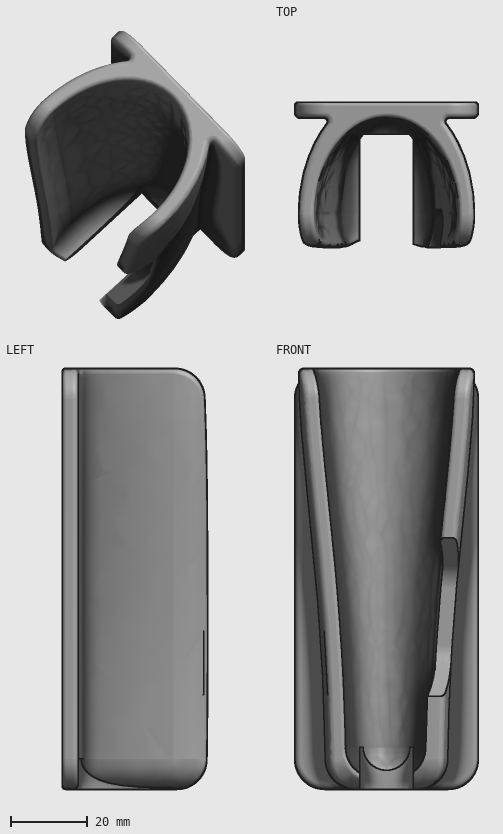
import cadquery as cq
import math

HEIGHT = 110.0
PLATE_WIDTH = 48.0
PLATE_THICKNESS = 4.2
CORNER_RADIUS = 8.0
EDGE_ROUND = 1.0

WIDEST_Y = -29.1
WALL = 4.1
OUTER_REAR_LENGTH = 32.0
NECK_FILLET = 0.9
LIP_ROUND = 1.5
STATIONS = [
    (0, 16.0, 8.7),
    (28, 16.6, 8.9),
    (55, 18.5, 8.9),
    (82, 21.2, 8.7),
    (HEIGHT, 23.0, 7.8),
]
FRONT_LENGTHS = (21.0, 25.0)
CAVITY_REAR_LENGTHS = (24.0, 25.2)
CAVITY_REACH = 12.0

FLOOR = 4.0
FLOOR_FILLET = 7.0
FOOT_STEPS = 5
WEB_WIDTH = 21.0

SLOT_WIDTH = 14.0
SLOT_REAR_Y = -8.4

NOTCH_MOUTH_Y = -38.0
NOTCH_FLOOR_Y = -28.0
NOTCH_FLOOR_BOTTOM = 34.3
NOTCH_FLOOR_TOP = 55.8
NOTCH_ROUND = 7.8

CLEARANCE = 10.0
TOLERANCE = 0.05


def between(ends, z):
    """Value at height z, running linearly from the bottom value to the top value."""
    bottom, top = ends
    return bottom + (top - bottom) * z / HEIGHT


def cradle_section(z, half_width, rear, front, reach):
    """Closed section: half ellipse at the rear, converging elliptic flanks and a flat front."""
    flank = math.degrees(math.asin(reach / front))

    def ellipse(length, start, end):
        return cq.Edge.makeEllipse(
            length,
            half_width,
            pnt=cq.Vector(0, WIDEST_Y, z),
            dir=cq.Vector(0, 0, 1),
            xdir=cq.Vector(0, 1, 0),
            angle1=start,
            angle2=end,
        )

    back = ellipse(rear, -90, 90)
    left = ellipse(front, 90, 90 + flank)
    right = ellipse(front, 270 - flank, 270)
    tip = cq.Edge.makeLine(left.endPoint(), right.startPoint())
    return cq.Wire.assembleEdges([back, left, tip, right])


def cradle_lofts(stations, rears, fronts, floor, radius, rounded_front):
    """Foot and wall lofts through (height, half width, reach) stations; the foot is rounded."""

    def section(z, half_width, reach, inset):
        rear = between(rears, z) - inset
        front_inset = inset if rounded_front else 0
        return cradle_section(z, half_width - inset, rear, between(fronts, z), reach - front_inset)

    foot_half_width, foot_reach = stations[0][1:]
    foot = []
    for step in range(FOOT_STEPS + 1):
        angle = math.pi / 2 * step / FOOT_STEPS
        z = floor + radius * (1 - math.cos(angle))
        inset = radius * (1 - math.sin(angle))
        foot.append(section(z, foot_half_width, foot_reach, inset))
    walls = [section(floor + radius, foot_half_width, foot_reach, 0)]
    for z, half_width, reach in stations[1:]:
        walls.append(section(z, half_width, reach, 0))
    return cq.Workplane(cq.Solid.makeLoft(foot)), cq.Workplane(cq.Solid.makeLoft(walls))


def make_outer():
    """Foot and wall of the cradle, trimmed in the middle of the plate's thickness."""
    rears = (OUTER_REAR_LENGTH, OUTER_REAR_LENGTH)
    foot, wall = cradle_lofts(STATIONS, rears, FRONT_LENGTHS, 0, CORNER_RADIUS, True)
    wall = wall.faces(">Z").edges("<Y").fillet(CORNER_RADIUS)
    behind = (
        cq.Workplane("XY")
        .box(2 * PLATE_WIDTH, OUTER_REAR_LENGTH, 3 * HEIGHT)
        .translate((0, (OUTER_REAR_LENGTH - PLATE_THICKNESS) / 2, 0))
    )
    return foot.cut(behind), wall.cut(behind)


def make_cavity():
    inner = [(z, half_width - WALL, CAVITY_REACH) for z, half_width, _ in STATIONS]
    fronts = [length - WALL for length in FRONT_LENGTHS]
    foot, wall = cradle_lofts(inner, CAVITY_REAR_LENGTHS, fronts, FLOOR, FLOOR_FILLET, False)
    return foot.union(wall)


def make_plate():
    plate = cq.Workplane("XY").box(PLATE_WIDTH, PLATE_THICKNESS, HEIGHT)
    plate = plate.translate((0, -PLATE_THICKNESS / 2, HEIGHT / 2))
    return plate.edges("|Y").fillet(CORNER_RADIUS)


def make_web():
    """Straight block that carries the rounded foot on the plate."""
    depth = -WIDEST_Y - PLATE_THICKNESS / 2
    web = cq.Workplane("XY").box(WEB_WIDTH, depth, CORNER_RADIUS, centered=(True, False, False))
    return web.translate((0, WIDEST_Y, 0))


def make_slot():
    length = 2 * CAVITY_REACH - WIDEST_Y
    slot = cq.Workplane("XY").box(SLOT_WIDTH, length, 2 * (FLOOR + FLOOR_FILLET))
    return slot.translate((0, SLOT_REAR_Y - length / 2, 0))


def make_notch():
    depth = NOTCH_FLOOR_Y - NOTCH_MOUTH_Y
    bottom = NOTCH_FLOOR_BOTTOM - depth
    top = NOTCH_FLOOR_TOP + depth
    outline = [
        (NOTCH_MOUTH_Y, bottom),
        (NOTCH_FLOOR_Y, NOTCH_FLOOR_BOTTOM),
        (NOTCH_FLOOR_Y, NOTCH_FLOOR_TOP),
        (NOTCH_MOUTH_Y, top),
        (NOTCH_MOUTH_Y - CLEARANCE, top),
        (NOTCH_MOUTH_Y - CLEARANCE, bottom),
    ]
    notch = cq.Workplane("YZ").polyline(outline).close().extrude(PLATE_WIDTH)
    return notch.edges("|X and >Y").fillet(NOTCH_ROUND)


def lies_on_plane(edge, y):
    box = edge.BoundingBox()
    return abs(box.ymin - y) < TOLERANCE and abs(box.ymax - y) < TOLERANCE


def is_long_upright(edge):
    box = edge.BoundingBox()
    return box.zmax - box.zmin > HEIGHT / 2


def half_span(edge):
    """Largest distance of the edge from the middle plane X = 0."""
    box = edge.BoundingBox()
    return max(box.xmax, -box.xmin)


def round_neck(body):
    """Fillet the two corners between the cradle wall and the front face of the plate."""
    corners = []
    for edge in body.edges().vals():
        leans = edge.BoundingBox().xmax - edge.BoundingBox().xmin > EDGE_ROUND / 2
        if lies_on_plane(edge, -PLATE_THICKNESS) and is_long_upright(edge) and leans:
            corners.append(edge)
    return body.newObject(corners).fillet(NECK_FILLET)


def round_lips(body):
    """Round the outer edge of both front lips."""
    top_half_width = STATIONS[-1][1]
    lip_y = WIDEST_Y - STATIONS[-1][2]
    lips = []
    for edge in body.edges().vals():
        is_outer = half_span(edge) > top_half_width - WALL + EDGE_ROUND
        if is_long_upright(edge) and is_outer and edge.Center().y < lip_y + EDGE_ROUND:
            lips.append(edge)
    return body.newObject(lips).fillet(LIP_ROUND)


def round_rims(body):
    """Round the top rim and the outlines of the plate's front and rear faces."""
    straight_half_width = PLATE_WIDTH / 2 - CORNER_RADIUS
    rims = body.faces(">Z").edges().vals()
    for edge in body.edges().vals():
        on_front = lies_on_plane(edge, -PLATE_THICKNESS)
        is_outside = half_span(edge) > straight_half_width + TOLERANCE
        is_bottom = edge.BoundingBox().zmax < TOLERANCE
        if lies_on_plane(edge, 0) or (on_front and (is_outside or is_bottom)):
            rims.append(edge)
    return body.newObject(rims).fillet(EDGE_ROUND)


foot, wall = make_outer()
holder = round_neck(wall.union(make_plate()))
holder = holder.union(foot).union(make_web())
holder = holder.cut(make_cavity())
holder = round_lips(holder)
holder = holder.cut(make_slot()).cut(make_notch())
result = round_rims(holder)